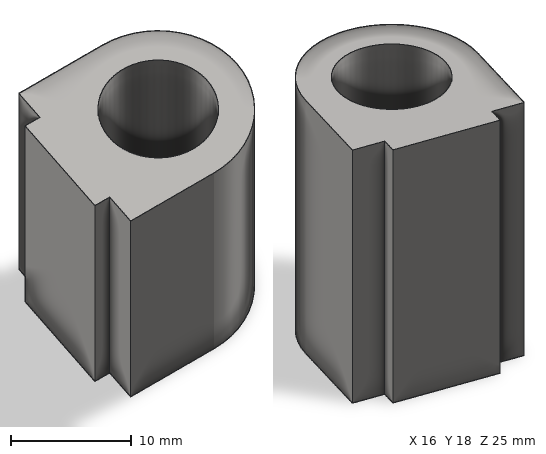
import cadquery as cq

height = 25
body_width = 16
bore_diameter = 10
shoulder_distance = 8.5
tongue_width = 10
tongue_depth = 1.5

body_radius = body_width / 2

body = (
    cq.Workplane("XY")
    .moveTo(-body_radius, -shoulder_distance)
    .lineTo(body_radius, -shoulder_distance)
    .lineTo(body_radius, 0)
    .threePointArc((0, body_radius), (-body_radius, 0))
    .close()
    .extrude(height)
)

tongue = (
    cq.Workplane("XY")
    .center(0, -shoulder_distance - tongue_depth / 2)
    .rect(tongue_width, tongue_depth)
    .extrude(height)
)

bore = cq.Workplane("XY").circle(bore_diameter / 2).extrude(height)

result = body.union(tongue).cut(bore)